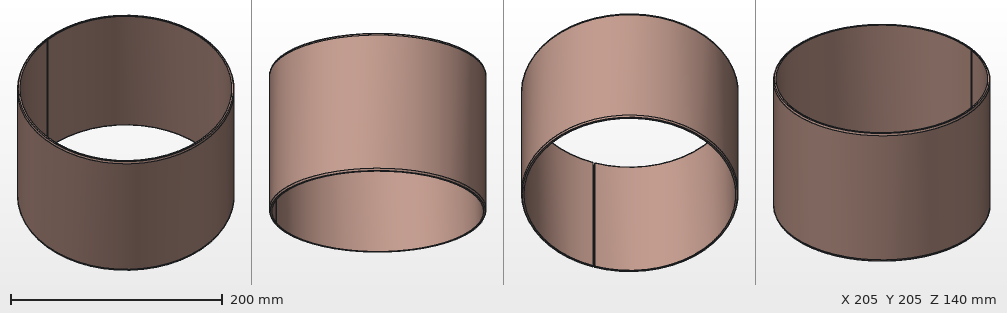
import cadquery as cq

outer_diameter = 205.0
height = 140.0
wall = 2.5
bevel_depth = 0.8
bevel_height = 2.0
slit_angle = 1.0

outer_radius = outer_diameter / 2
inner_radius = outer_radius - wall
rim_radius = outer_radius - bevel_depth


def wall_section():
    """Wall profile on the -X side, with the outer edge bevelled at both ends."""
    radius_and_height = [
        (inner_radius, 0),
        (rim_radius, 0),
        (outer_radius, bevel_height),
        (outer_radius, height - bevel_height),
        (rim_radius, height),
        (inner_radius, height),
    ]
    points = [(-radius, z) for radius, z in radius_and_height]
    return cq.Workplane("XZ").polyline(points).close()


result = wall_section().revolve(360 - slit_angle, (0, 0), (0, 1))